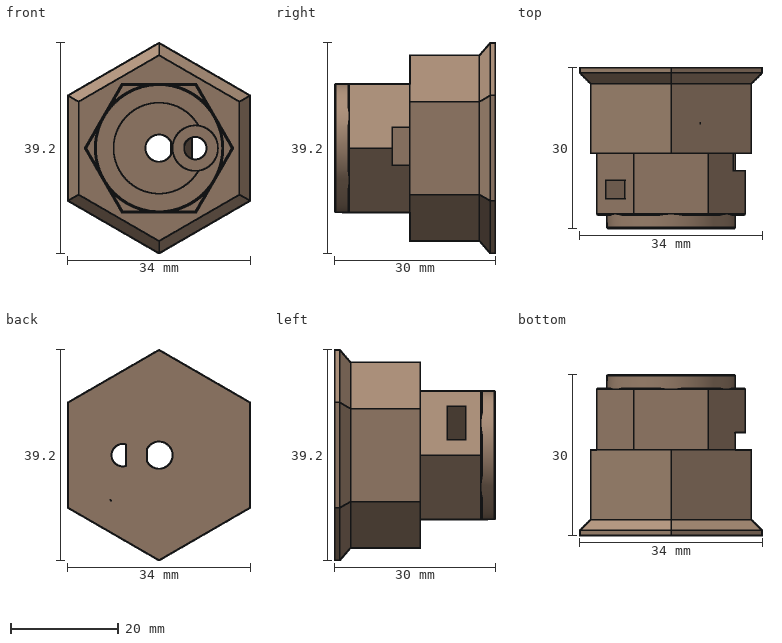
import cadquery as cq
import math

across_corners = 39.25
total_length = 30.0
hex_half_angle = math.radians(30)

flange_rim = 1.0
flange_bevel = 2.0
body_end = 15.98
bevel_inset = 2.0
body_across_corners = across_corners - 2 * bevel_inset / math.cos(hex_half_angle)

neck_across_flats = 24.0
neck_across_corners = neck_across_flats / math.cos(hex_half_angle)
neck_end = 27.5
nose_radius = neck_across_flats / 2
edge_break = 0.25

recess_radius = 8.48
recess_depth = 3.0
counterbore_radius = 4.25
counterbore_depth = 5.2
main_hole_radius = 2.5
main_hole_flat = 2.2
side_hole_x = 6.75
side_hole_radius = 2.1
side_flat_front_x = 4.7
side_flat_back_x = 6.15

slot_start = 20.95
slot_width_y = 3.5
slot_height = 7.15
slot_past_axis = 3.73

notch_x = 11.62
notch_floor_z = -3.18
notch_length = 3.2


def at_depth(y):
    """Sketch plane square to the axis, y units from the flange face, facing -Y."""
    return cq.Workplane("XZ", origin=(0, -y, 0))


def corner_up_hexagon(start, diameter, length, taper=0):
    plane = at_depth(start).transformed(rotate=(0, 0, 90))
    return plane.polygon(6, diameter).extrude(length, taper=taper)


def rod(start, end, radius, x=0):
    return at_depth(start).center(x, 0).circle(radius).extrude(end - start)


def make_body():
    flange_depth = flange_rim + flange_bevel
    taper = math.degrees(math.atan(bevel_inset / flange_bevel))
    rim = corner_up_hexagon(0, across_corners, flange_rim)
    bevel = corner_up_hexagon(flange_rim, across_corners, flange_bevel, taper)
    body = corner_up_hexagon(flange_depth, body_across_corners, body_end - flange_depth)
    return rim.union(bevel).union(body)


def make_neck():
    neck = at_depth(body_end).polygon(6, neck_across_corners).extrude(neck_end - body_end)
    neck = neck.faces("<Y").chamfer(edge_break)
    nose = rod(body_end, total_length, nose_radius).faces("<Y").chamfer(edge_break)
    return neck.union(nose).cut(make_notch())


def make_notch():
    reach = neck_across_corners
    corner = (notch_x, -body_end - notch_length, notch_floor_z)
    return cq.Workplane("XY").box(reach, notch_length, reach, centered=False).translate(corner)


def make_slot():
    length = neck_across_flats / 2 + slot_past_axis
    slot = cq.Workplane("XY").box(length, slot_width_y, slot_height)
    slot = slot.translate((slot_past_axis - length / 2, -slot_start - slot_width_y / 2, 0))
    return slot.rotate((0, 0, 0), (0, 1, 0), math.degrees(hex_half_angle))


def make_main_hole():
    """Round through the front wall, D-shaped from the slot to the flange face."""
    front = rod(slot_start, total_length, main_hole_radius)
    flat_side = cq.Workplane("XY").box(main_hole_radius, slot_start, 2 * main_hole_radius)
    flat_side = flat_side.translate((main_hole_flat + main_hole_radius / 2, -slot_start / 2, 0))
    return front.union(rod(0, slot_start, main_hole_radius).cut(flat_side))


def make_side_hole():
    """Round through the front wall, with one side closing in towards the flange face."""
    front = rod(slot_start, total_length, side_hole_radius, side_hole_x)
    left = side_hole_x - 2 * side_hole_radius
    outline = [(left, 0), (side_flat_back_x, 0), (side_flat_front_x, -slot_start), (left, -slot_start)]
    wedge = cq.Workplane("XY").polyline(outline).close().extrude(side_hole_radius, both=True)
    return front.union(rod(0, slot_start, side_hole_radius, side_hole_x).cut(wedge))


recess = rod(total_length - recess_depth, total_length, recess_radius)
counterbore = rod(total_length - counterbore_depth, total_length, counterbore_radius, side_hole_x)

result = make_body().union(make_neck())
for opening in (recess, counterbore, make_main_hole(), make_side_hole(), make_slot()):
    result = result.cut(opening)